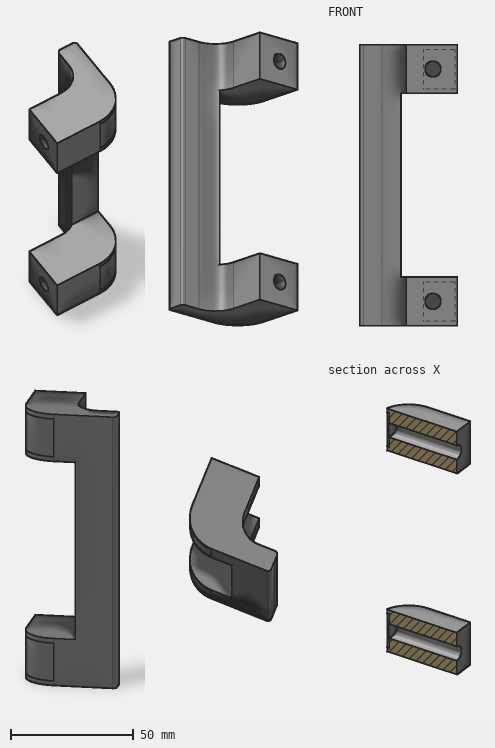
import cadquery as cq
import math

width = 40.0
depth = 35.0
length = 115.0

lip_thickness = 9.0
leg_width = 21.0
outer_radius = 14.0
inner_radius = 10.0
lip_edge_radius = 1.5

foot_length = 20.0
grip_width = 17.0

hole_diameter = 6.5
hole_to_leg_side = 10.0

cover_thickness = 1.0
cover_margin = 2.0
cover_length = foot_length - 2 * cover_margin

leg_inner_x = width - leg_width
lip_inner_y = depth - lip_thickness
bend_x = width - outer_radius
bend_y = depth - outer_radius
hole_x = width - hole_to_leg_side
foot_z = (length - foot_length) / 2
foot_centers = (-foot_z, foot_z)

diagonal = math.sqrt(0.5)


def make_profile_bar():
    """L-shaped section with rounded bends, extruded along the full length."""
    inner_center_x = leg_inner_x - inner_radius
    inner_center_y = lip_inner_y - inner_radius
    bar = (
        cq.Workplane("XY")
        .workplane(offset=-length / 2)
        .moveTo(0, lip_inner_y)
        .lineTo(inner_center_x, lip_inner_y)
        .threePointArc(
            (inner_center_x + inner_radius * diagonal, inner_center_y + inner_radius * diagonal),
            (leg_inner_x, inner_center_y),
        )
        .lineTo(leg_inner_x, 0)
        .lineTo(width, 0)
        .lineTo(width, bend_y)
        .threePointArc(
            (bend_x + outer_radius * diagonal, bend_y + outer_radius * diagonal),
            (bend_x, depth),
        )
        .lineTo(0, depth)
        .close()
        .extrude(length)
    )
    return bar.edges("|Z and <X").fillet(lip_edge_radius)


def make_foot_gap():
    """Block that removes the leg between the two feet."""
    return cq.Workplane("XY").box(
        width - grip_width, depth, length - 2 * foot_length, centered=(False, False, True)
    ).translate((grip_width, 0, 0))


def make_hole_core(z):
    """Cylinder along Y through a whole foot, on the screw axis at height z."""
    axis_start = cq.Vector(hole_x, 0, z)
    core = cq.Solid.makeCylinder(hole_diameter / 2, depth, axis_start, cq.Vector(0, 1, 0))
    return cq.Workplane(core)


def make_cover(z):
    """Curved plate that forms the skin of the outer bend, centered at height z."""
    cover_inner_radius = outer_radius - cover_thickness
    return (
        cq.Workplane("XY")
        .workplane(offset=z - cover_length / 2)
        .center(bend_x, bend_y)
        .moveTo(outer_radius, 0)
        .threePointArc(
            (outer_radius * diagonal, outer_radius * diagonal),
            (0, outer_radius),
        )
        .lineTo(0, cover_inner_radius)
        .threePointArc(
            (cover_inner_radius * diagonal, cover_inner_radius * diagonal),
            (cover_inner_radius, 0),
        )
        .close()
        .extrude(cover_length)
    )


def make_handle():
    """Bar with the gap between its feet, and a screw hole and a cover recess in each foot."""
    handle = make_profile_bar().cut(make_foot_gap())
    for z in foot_centers:
        handle = handle.cut(make_hole_core(z)).cut(make_cover(z))
    return handle


handle = make_handle()
covers = [make_cover(z) for z in foot_centers]

result = cq.Compound.makeCompound([handle.val(), *[cover.val() for cover in covers]])